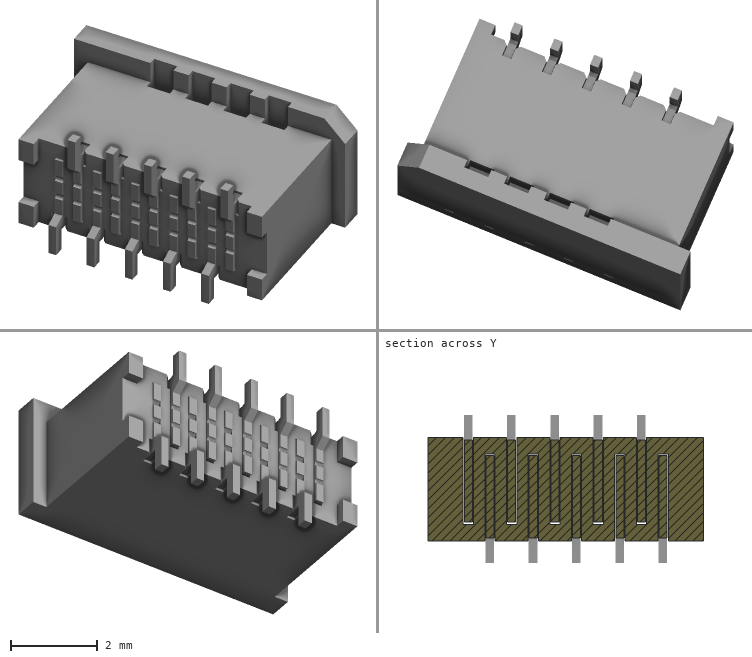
import cadquery as cq


flange_width = 7.1
flange_height = 2.95
flange_depth = 0.6
corner_cut = 0.55

body_width = 6.375
body_height = 2.4
body_front = -3.75
foot_front = -4.0
foot_width = 0.4
foot_height = 0.595

pitch = 1.0
contacts_per_row = 5
contact_width = 0.2
slot_width = 0.23
slot_back = -3.39
slot_end_margin = 0.39
upper_row_middle = pitch / 4
lower_row_middle = -pitch / 4
mouth_width = 0.41
mouth_depth = (mouth_width - slot_width) / 2
arm_inset = 0.065

tail_front = -4.1
tail_back = -3.84
upper_tail_end = 2.91
lower_tail_end = -0.505

upper_face = tail_back
upper_foot = 0.43
upper_bend_low = 1.89
upper_bend_high = 2.095
upper_arm_rise = 0.04
upper_notch_radius = 0.0675
upper_notch_heights = (0.98, 1.48)

lower_face = -3.79
lower_top = 1.98
lower_bend_low = 0.3
lower_bend_high = 0.43
lower_notch_radius = 0.08
lower_notch_heights = (0.945, 1.45)

window_width = 0.6
window_back = -0.42
window_front = -0.78
window_depth = 0.5
ledge_depth = 0.425
ledge_width = 0.015


def block(x_middle, width, y_front, y_back, z_low, z_high):
    """Box centred on x_middle and given by its limits along Y and Z."""
    size = (width, y_back - y_front, z_high - z_low)
    corner = (x_middle - width / 2, y_front, z_low)
    return cq.Workplane("XY").box(*size, centered=False).translate(corner)


def row_positions(row_middle):
    first = row_middle - pitch * (contacts_per_row - 1) / 2
    return [first + pitch * index for index in range(contacts_per_row)]


def make_flange():
    half = flange_width / 2
    outline = [
        (-half, 0),
        (half, 0),
        (half, flange_height - corner_cut),
        (half - corner_cut, flange_height),
        (-half, flange_height),
    ]
    return cq.Workplane("XZ").polyline(outline).close().extrude(flange_depth)


def make_housing():
    housing = make_flange().union(block(0, body_width, body_front, 0, 0, body_height))
    foot_middle = (body_width - foot_width) / 2
    for x in (-foot_middle, foot_middle):
        for z_low in (0, body_height - foot_height):
            foot = block(x, foot_width, foot_front, body_front, z_low, z_low + foot_height)
            housing = housing.union(foot)
    return housing


def make_window(x):
    """Window with a narrow ledge along the bottom of its back wall."""
    upper = block(x, window_width, window_front, window_back, body_height - ledge_depth, flange_height)
    lower = block(
        x,
        window_width,
        window_front,
        window_back - ledge_width,
        body_height - window_depth,
        body_height,
    )
    return upper.union(lower)


def make_mouth(x, z_low):
    """Flared opening that leads into a slot where the tail leaves it."""
    outline = [
        (x - mouth_width / 2, body_front),
        (x + mouth_width / 2, body_front),
        (x + slot_width / 2, body_front + mouth_depth),
        (x - slot_width / 2, body_front + mouth_depth),
    ]
    flare = cq.Workplane("XY").polyline(outline).close().extrude(slot_end_margin)
    return flare.translate((0, 0, z_low))


def make_upper_slot(x):
    """Slot open at the top, with a slit under the contact that runs right through."""
    slot = block(x, slot_width, body_front, slot_back, slot_end_margin, body_height)
    slit = block(x, slot_width, slot_back, 0, slot_end_margin, upper_foot)
    return slot.union(slit).union(make_mouth(x, body_height - slot_end_margin))


def make_lower_slot(x):
    """Slot open at the bottom."""
    slot = block(x, slot_width, body_front, slot_back, 0, body_height - slot_end_margin)
    return slot.union(make_mouth(x, 0))


def make_contact(outline, face, notch_radius, notch_heights):
    """Flat contact centred on X = 0 with round notches across its front face."""
    half = contact_width / 2
    contact = cq.Workplane("YZ").polyline(outline).close().extrude(half, both=True)
    notches = [(face, z) for z in notch_heights]
    notch = cq.Workplane("YZ").pushPoints(notches).circle(notch_radius).extrude(half, both=True)
    return contact.cut(notch)


upper_arm_top = body_height - arm_inset
upper_outline = [
    (slot_back, upper_foot),
    (upper_face, upper_foot),
    (upper_face, upper_bend_low),
    (tail_front, upper_bend_high),
    (tail_front, upper_tail_end),
    (tail_back, upper_tail_end),
    (tail_back, upper_arm_top + upper_arm_rise),
    (body_front, upper_arm_top),
    (slot_back, upper_arm_top),
]
lower_outline = [
    (slot_back, lower_top),
    (lower_face, lower_top),
    (lower_face, lower_bend_high),
    (tail_front, lower_bend_low),
    (tail_front, lower_tail_end),
    (tail_back, lower_tail_end),
    (tail_back, arm_inset),
    (slot_back, arm_inset),
]
upper_contact = make_contact(upper_outline, upper_face, upper_notch_radius, upper_notch_heights)
lower_contact = make_contact(lower_outline, lower_face, lower_notch_radius, lower_notch_heights)

upper_row = row_positions(upper_row_middle)
lower_row = row_positions(lower_row_middle)

result = make_housing()

for x in lower_row[1:]:
    result = result.cut(make_window(x))

for x in upper_row:
    result = result.cut(make_upper_slot(x)).union(upper_contact.translate((x, 0, 0)))

for x in lower_row:
    result = result.cut(make_lower_slot(x)).union(lower_contact.translate((x, 0, 0)))